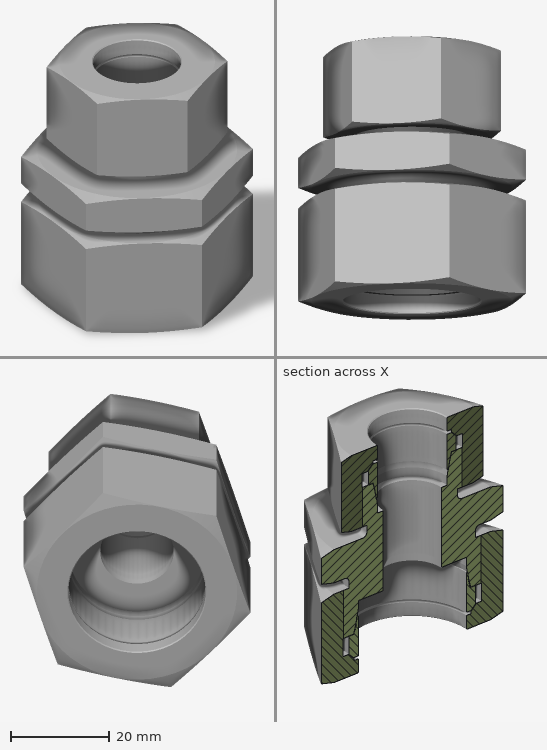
import cadquery as cq
import math


TOTAL_HEIGHT = 52.0

LARGE_FLATS = 41.05
SMALL_FLATS = 32.0

BODY_HEX_BOTTOM = 23.5
BODY_HEX_TOP = 31.45
BORE_DIA = 15.0

HEX_HALF_ANGLE = 30.0

CORNER_CHAMFER_ANGLE = 15.0
CHAMFER_CIRCLE_INSET = 0.1

CONE_HALF_ANGLE = 12.0
SOCKET_DEPTH = 7.5
NECK_FILLET = 1.05
HOLE_DEPTH = 3.4
RING_DEPTH = 4.0
HOLE_CHAMFER = 0.2
COLLAR_STEP = 1.35
RING_TIP_THICKNESS = 0.3

UPPER_END = dict(
    outward=1,
    nut_face=TOTAL_HEIGHT,
    nut_height=18.0,
    nut_flats=SMALL_FLATS,
    hex_face=BODY_HEX_TOP,
    spigot_length=12.0,
    thread_dia=26.0,
    neck_dia=23.7,
    cone_mouth_dia=20.3,
    tube_dia=18.0,
)
LOWER_END = dict(
    outward=-1,
    nut_face=0.0,
    nut_height=20.95,
    nut_flats=LARGE_FLATS,
    hex_face=BODY_HEX_BOTTOM,
    spigot_length=14.0,
    thread_dia=36.0,
    neck_dia=33.0,
    cone_mouth_dia=30.3,
    tube_dia=28.0,
)


def turned(points):
    """Solid of revolution about Z from a closed outline of (radius, z) points."""
    return cq.Workplane("XZ").polyline(points).close().revolve(360, (0, 0), (0, 1))


def cylinder(dia, z_start, z_end):
    """Cylinder on the Z axis between two heights, given in either order."""
    return cq.Workplane("XY").workplane(offset=z_start).circle(dia / 2).extrude(z_end - z_start)


def chamfered_hexagon(flats, bottom, top):
    """Hexagonal prism with corners on the Y axis, its corners turned off at both ends."""
    corner_radius = flats / 2 / math.cos(math.radians(HEX_HALF_ANGLE))
    face_radius = flats / 2 - CHAMFER_CIRCLE_INSET
    drop = (corner_radius - face_radius) * math.tan(math.radians(CORNER_CHAMFER_ANGLE))
    prism = (
        cq.Workplane("XY")
        .workplane(offset=bottom)
        .polygon(6, 2 * corner_radius)
        .extrude(top - bottom)
        .rotate((0, 0, 0), (0, 0, 1), HEX_HALF_ANGLE)
    )
    envelope = turned([
        (0, bottom),
        (face_radius, bottom),
        (corner_radius, bottom + drop),
        (corner_radius, top - drop),
        (face_radius, top),
        (0, top),
    ])
    return prism.intersect(envelope)


def nut_inner_face(end):
    """Height of the nut face that looks towards the body hexagon."""
    return end["nut_face"] - end["outward"] * end["nut_height"]


def spigot_face(end):
    """Height of the free end of the spigot."""
    return end["hex_face"] + end["outward"] * end["spigot_length"]


def mouth_radius(end):
    """Radius of the sealing cone at the spigot face, also that of the ring's outer face."""
    return end["cone_mouth_dia"] / 2


def collar_radius(end):
    """Radius of the ring collar between spigot and nut."""
    return mouth_radius(end) + COLLAR_STEP


def ring_outer_face(end):
    """Height of the ring face that shows inside the nut hole."""
    return end["nut_face"] - end["outward"] * RING_DEPTH


def clamping_shoulder(end):
    """Height where the 45 degree clamping cone starts, at the collar radius."""
    return ring_outer_face(end) - end["outward"] * COLLAR_STEP


def cone_depth(end, radius):
    """Depth below the spigot face at which the sealing cone has the given radius."""
    return (mouth_radius(end) - radius) / math.tan(math.radians(CONE_HALF_ANGLE))


def spigot(end):
    """Relief neck with a fillet against the hexagon, then the thread as a plain cylinder."""
    neck_radius = end["neck_dia"] / 2
    thread_radius = end["thread_dia"] / 2
    outward = end["outward"]
    base = end["hex_face"]
    arc_offset = NECK_FILLET * (1 - math.sqrt(0.5))
    return (
        cq.Workplane("XZ")
        .moveTo(0, base)
        .lineTo(neck_radius + NECK_FILLET, base)
        .threePointArc(
            (neck_radius + arc_offset, base + outward * arc_offset),
            (neck_radius, base + outward * NECK_FILLET),
        )
        .lineTo(neck_radius, nut_inner_face(end))
        .lineTo(thread_radius, nut_inner_face(end))
        .lineTo(thread_radius, spigot_face(end))
        .lineTo(0, spigot_face(end))
        .close()
        .revolve(360, (0, 0), (0, 1))
    )


def tube_socket(end):
    """Cavity of the spigot: sealing cone, then a straight socket down to the tube stop."""
    face = spigot_face(end)
    tube_radius = end["tube_dia"] / 2
    cone_end = face - end["outward"] * cone_depth(end, tube_radius)
    stop = face - end["outward"] * SOCKET_DEPTH
    return turned([
        (0, face),
        (mouth_radius(end), face),
        (tube_radius, cone_end),
        (tube_radius, stop),
        (0, stop),
    ])


def make_body():
    """Hexagonal body with both spigots, tube sockets and the through bore."""
    body = chamfered_hexagon(LARGE_FLATS, BODY_HEX_BOTTOM, BODY_HEX_TOP)
    for end in (LOWER_END, UPPER_END):
        body = body.union(spigot(end)).cut(tube_socket(end))
    return body.cut(cylinder(BORE_DIA, spigot_face(LOWER_END), spigot_face(UPPER_END)))


def make_nut(end):
    """Union nut: threaded bore, clamping cone, recess and chamfered tube hole."""
    inner_face = nut_inner_face(end)
    outer_face = end["nut_face"]
    thread_radius = end["thread_dia"] / 2
    hole_radius = end["tube_dia"] / 2
    shoulder = clamping_shoulder(end)
    recess_floor = outer_face - end["outward"] * HOLE_DEPTH
    cavity = turned([
        (0, inner_face),
        (thread_radius, inner_face),
        (thread_radius, shoulder),
        (collar_radius(end), shoulder),
        (mouth_radius(end), ring_outer_face(end)),
        (mouth_radius(end), recess_floor),
        (hole_radius, recess_floor),
        (hole_radius, outer_face - end["outward"] * HOLE_CHAMFER),
        (hole_radius + HOLE_CHAMFER, outer_face),
        (0, outer_face),
    ])
    bottom, top = sorted((inner_face, outer_face))
    return chamfered_hexagon(end["nut_flats"], bottom, top).cut(cavity)


def make_cutting_ring(end):
    """Cutting ring: nose in the sealing cone, collar on the spigot face, clamping cone."""
    face = spigot_face(end)
    tube_radius = end["tube_dia"] / 2
    tip_radius = tube_radius + RING_TIP_THICKNESS
    tip = face - end["outward"] * cone_depth(end, tip_radius)
    return turned([
        (tube_radius, tip),
        (tip_radius, tip),
        (mouth_radius(end), face),
        (collar_radius(end), face),
        (collar_radius(end), clamping_shoulder(end)),
        (mouth_radius(end), ring_outer_face(end)),
        (tube_radius, ring_outer_face(end)),
    ])


body = make_body()
nuts = []
cutting_rings = []
for tube_end in (LOWER_END, UPPER_END):
    nuts.append(make_nut(tube_end).val())
    cutting_rings.append(make_cutting_ring(tube_end).val())

result = cq.Compound.makeCompound([body.val(), *nuts, *cutting_rings])